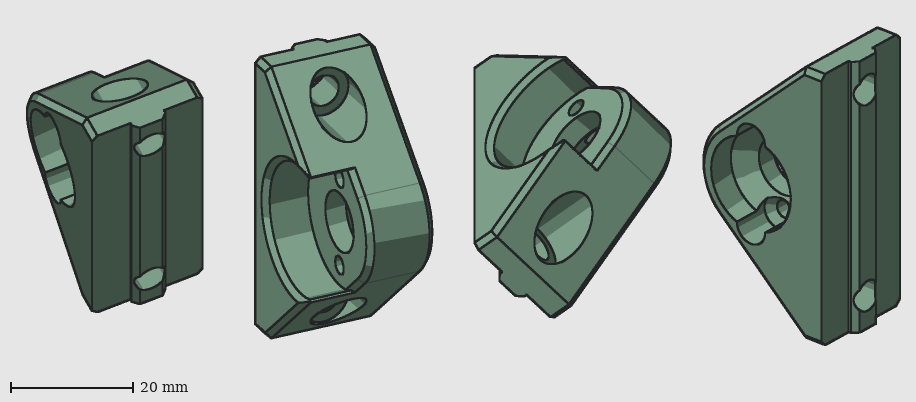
import cadquery as cq
import math

length = 50.0
width = 20.0
body_depth = 26.0
nose_radius = 11.0
flat_start = 2 * nose_radius
edge_chamfer = 1.0
normal_angle = 2 * math.atan2(length / 2, flat_start - nose_radius)

nose_width = 12.0
relief_radius = 11.65
lip_reach = 5.05

bore_diameter = 10.5
bore_recess_diameter = 17.0
bore_recess_depth = 5.0
bore_cone_depth = 3.25
pin_diameter = 3.15
pin_recess_diameter = 6.0
pin_recess_depth = 7.0
pin_cone_depth = 1.5
pin_offset = 8.0

screw_offset = 19.0
screw_diameter = 5.5
screw_head_diameter = 9.0
screw_seat = 21.0

rib_height = 1.5
rib_width = 6.1
rib_chamfer = 1.0


def wedge(thickness):
    """Wedge from Y = 0 to the thickness, with sharp edges."""
    half = length / 2
    tangent_x = nose_radius * (1 + math.cos(normal_angle))
    tangent_z = nose_radius * math.sin(normal_angle)
    return (
        cq.Workplane("XZ")
        .moveTo(body_depth, -half)
        .lineTo(body_depth, half)
        .lineTo(flat_start, half)
        .lineTo(tangent_x, tangent_z)
        .threePointArc((0, 0), (tangent_x, -tangent_z))
        .lineTo(flat_start, -half)
        .close()
        .extrude(-thickness)
    )


def chamfer_rims(solid):
    """Chamfer both Y faces all round, except along the back."""
    return solid.faces("<Y or >Y").edges("not(>X)").chamfer(edge_chamfer)


def nose_relief():
    """Round relief volume, flared at Y = width, with flats that blunt its two thin lips."""
    disc = cq.Workplane("XZ", origin=(nose_radius, 0, 0)).circle(relief_radius).extrude(-width)
    flare = (
        cq.Workplane("XZ", origin=(nose_radius, width, 0))
        .circle(relief_radius + edge_chamfer)
        .workplane(offset=edge_chamfer)
        .circle(relief_radius)
        .loft(ruled=True)
    )
    relief = disc.union(flare)
    for side in (-1, 1):
        lip_cut = (
            cq.Workplane("XY")
            .box(nose_radius, width, 2 * lip_reach)
            .translate((-nose_radius, width / 2, 0))
            .rotate((0, 0, 0), (0, 1, 0), side * (180 - math.degrees(normal_angle)))
            .translate((nose_radius, 0, 0))
        )
        relief = relief.union(lip_cut)
    return relief


def coned_hole(diameter, recess_diameter, recess_depth, cone_depth, z):
    """Through hole with a straight recess from Y = 0 that narrows in a cone."""
    radius = diameter / 2
    recess_radius = recess_diameter / 2
    return (
        cq.Workplane("XY", origin=(nose_radius, 0, z))
        .polyline([
            (0, 0),
            (recess_radius, 0),
            (recess_radius, recess_depth),
            (radius, recess_depth + cone_depth),
            (radius, width),
            (0, width),
        ])
        .close()
        .revolve(360, (0, 0, 0), (0, 1, 0))
    )


def screw_hole(z):
    """Through hole along X with a head counterbore open to the slanted side."""
    axis = cq.Workplane("YZ", origin=(0, width / 2, z))
    shank = axis.circle(screw_diameter / 2).extrude(body_depth + rib_height)
    head = axis.circle(screw_head_diameter / 2).extrude(screw_seat)
    return shank.union(head)


def locating_rib():
    """Full-length rib with two bevelled long edges, centred on the back face."""
    return (
        cq.Workplane("XY", origin=(body_depth, width / 2, 0))
        .rect(2 * rib_height, rib_width)
        .extrude(length / 2, both=True)
        .edges("|Z and >X")
        .chamfer(rib_chamfer)
    )


relief = nose_relief()
outer_block = chamfer_rims(wedge(width)).cut(relief)
nose_layer = chamfer_rims(wedge(nose_width)).intersect(relief)
result = outer_block.union(nose_layer)
result = result.union(locating_rib())

result = result.cut(coned_hole(bore_diameter, bore_recess_diameter, bore_recess_depth, bore_cone_depth, 0))
for side in (-1, 1):
    result = result.cut(
        coned_hole(pin_diameter, pin_recess_diameter, pin_recess_depth, pin_cone_depth, side * pin_offset)
    )
    result = result.cut(screw_hole(side * screw_offset))